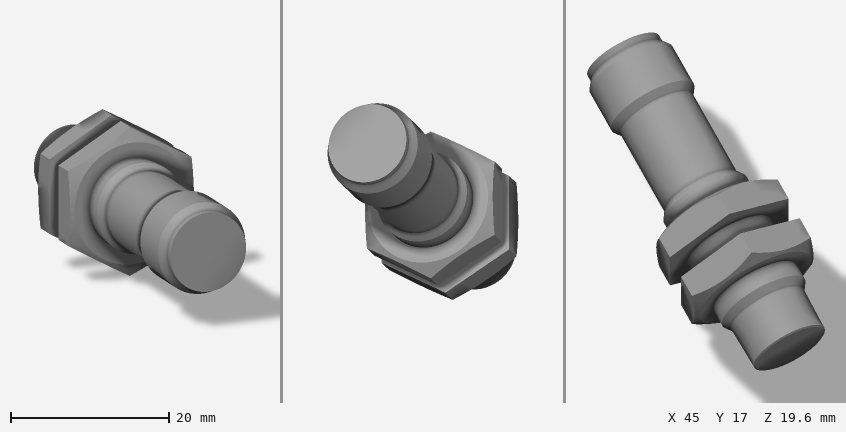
import math
import cadquery as cq

total_length = 45.0

nose_tip_diameter = 10.2
nose_base_diameter = 10.5
nose_length = 6.0
nose_edge_width = 0.25
nose_edge_length = 0.15

thread_diameter = 12.0
sleeve_diameter = 10.5
connector_tip_diameter = 10.4
thread_end = 24.0
connector_start = 36.0
connector_shoulder_end = 44.0
bevel_length = 1.1

nut_width = 17.0
nut_thickness = 4.0
nut_gap = 3.0
front_nut_start = 9.38
nut_face_diameter = 16.0
nut_bevel_angle = 30.0
nut_sides = 6
nut_corner_radius = nut_width / 2 / math.cos(math.pi / nut_sides)


def revolve_about_x(profile):
    """Turn a closed half profile of (x, radius) points into a solid of revolution about X."""
    return cq.Workplane("XY").polyline(profile).close().revolve(360, (0, 0, 0), (1, 0, 0))


def make_body():
    """Revolve the half profile of the sensor body about X."""
    thread_radius = thread_diameter / 2
    sleeve_radius = sleeve_diameter / 2
    connector_tip_radius = connector_tip_diameter / 2
    nose_tip_radius = nose_tip_diameter / 2
    nose_base_radius = nose_base_diameter / 2

    profile = [
        (0, 0),
        (0, nose_tip_radius - nose_edge_width),
        (nose_edge_length, nose_tip_radius),
        (nose_length, nose_base_radius),
        (nose_length + bevel_length, thread_radius),
        (thread_end - bevel_length, thread_radius),
        (thread_end, sleeve_radius),
        (connector_start, sleeve_radius),
        (connector_start + bevel_length, thread_radius),
        (connector_shoulder_end - bevel_length, thread_radius),
        (connector_shoulder_end, connector_tip_radius),
        (total_length, connector_tip_radius),
        (total_length, 0),
    ]
    return revolve_about_x(profile)


def make_nut(bevelled_face, direction):
    """Hex nut with corners along Z, running from its bevelled face along +X (1) or -X (-1)."""
    face_radius = nut_face_diameter / 2
    bevel_depth = (nut_corner_radius - face_radius) * math.tan(math.radians(nut_bevel_angle))
    back_face = bevelled_face + direction * nut_thickness
    bevel_end = bevelled_face + direction * bevel_depth

    hexagon = (
        cq.Workplane("YZ")
        .workplane(offset=bevelled_face)
        .transformed(rotate=(0, 0, 90))
        .polygon(nut_sides, 2 * nut_corner_radius)
        .extrude(direction * nut_thickness)
    )
    bevel_envelope = revolve_about_x([
        (bevelled_face, 0),
        (bevelled_face, face_radius),
        (bevel_end, nut_corner_radius),
        (back_face, nut_corner_radius),
        (back_face, 0),
    ])
    return hexagon.intersect(bevel_envelope)


rear_nut_end = front_nut_start + 2 * nut_thickness + nut_gap
front_nut = make_nut(front_nut_start, 1)
rear_nut = make_nut(rear_nut_end, -1)

result = make_body().union(front_nut).union(rear_nut)